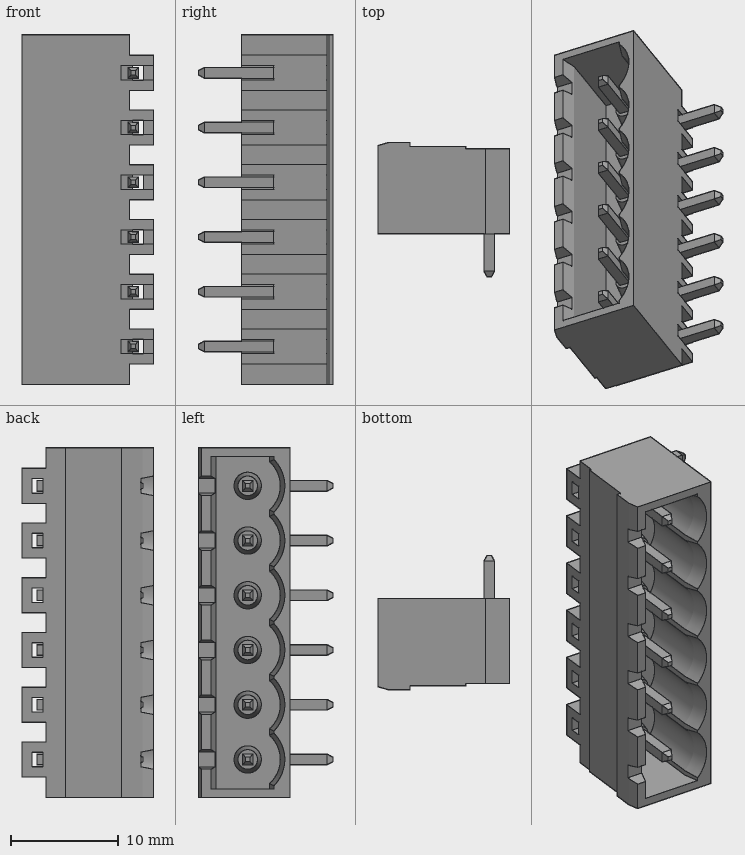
import cadquery as cq


row_length = 32.48
pin_count = 6
end_distance = 3.55
pitch = (row_length - 2 * end_distance) / (pin_count - 1)
pin_width = 1.0
pin_tip_width = 0.42
pin_tip_length = 0.55
pin_height = 3.93
pin_front = 0.97
tail_x = 10.33
tail_length = 4.0
pin_centers = [(i - (pin_count - 1) / 2) * pitch for i in range(pin_count)]

total_depth = 12.2
block_depth = 10.0
lip_height = 8.5
lip_depth = 3.0
lip_chamfer_length = 1.0
lip_chamfer_drop = 0.3
middle_height = 8.12
middle_depth = 8.15
rear_height = 7.93

end_wall = 0.8
cavity_length = row_length - 2 * end_wall
cavity_depth = 8.0
lead_in_depth = 1.45
cavity_top = 6.9
cavity_top_mouth = 7.35
cavity_bottom = 1.92
cavity_bottom_mouth = 1.5
scallop_radius = 3.02
scallop_radius_mouth = scallop_radius + cavity_bottom - cavity_bottom_mouth
boss_base_radius = 1.27
boss_top_radius = 0.9
boss_height = 2.0

notch_depth = 1.17
notch_mouth_width = 1.82
notch_floor_width = 1.35

lug_width = 3.28
slot_width = 1.33
recess_front = 9.2
recess_top = 3.0
window_front = 10.25
window_length = 1.0


def box(x_range, y_range, z_center, z_width):
    """Box between two X and two Y positions, centred on z_center."""
    (x0, x1), (y0, y1) = x_range, y_range
    return cq.Workplane("XY").box(x1 - x0, y1 - y0, z_width).translate(
        ((x0 + x1) / 2, (y0 + y1) / 2, z_center)
    )


def along_z(points, length):
    """Prism with an XY outline, centred on z = 0."""
    return cq.Workplane("XY").polyline(points).close().extrude(length / 2, both=True)


def cone(x_start, height, start_radius, end_radius, z_center):
    """Cone frustum, or cylinder if the radii match, on a contact axis running towards +X."""
    base = cq.Vector(x_start, pin_height, z_center)
    axis = cq.Vector(1, 0, 0)
    if start_radius == end_radius:
        return cq.Workplane(cq.Solid.makeCylinder(start_radius, height, base, axis))
    return cq.Workplane(cq.Solid.makeCone(start_radius, end_radius, height, base, axis))


def housing_block():
    outline = [
        (0, 0),
        (block_depth, 0),
        (block_depth, rear_height),
        (middle_depth, rear_height),
        (middle_depth, middle_height),
        (lip_depth, middle_height),
        (lip_depth, lip_height),
        (lip_chamfer_length, lip_height),
        (0, lip_height - lip_chamfer_drop),
    ]
    return along_z(outline, row_length)


def cavity():
    """Cavity with a scalloped lower wall and a flared lead-in at its mouth."""
    outline = [
        (0, cavity_bottom_mouth),
        (lead_in_depth, cavity_bottom),
        (cavity_depth, cavity_bottom),
        (cavity_depth, cavity_top),
        (lead_in_depth, cavity_top),
        (0, cavity_top_mouth),
    ]
    space = along_z(outline, cavity_length)
    lower_half = box((0, cavity_depth), (0, pin_height), 0, cavity_length)
    straight_depth = cavity_depth - lead_in_depth
    for z in pin_centers:
        flare = cone(0, lead_in_depth, scallop_radius_mouth, scallop_radius, z)
        bore = cone(lead_in_depth, straight_depth, scallop_radius, scallop_radius, z)
        space = space.union(flare.union(bore).intersect(lower_half))
    return space


def notch(z):
    """Notch through the lip, narrowing towards its floor."""
    outline = [
        (0, z - notch_mouth_width / 2),
        (notch_depth, z - notch_floor_width / 2),
        (notch_depth, z + notch_floor_width / 2),
        (0, z + notch_mouth_width / 2),
    ]
    cavity_middle = (cavity_bottom + cavity_top) / 2
    height = lip_height - cavity_middle
    return cq.Workplane("XZ", origin=(0, cavity_middle, 0)).polyline(outline).close().extrude(-height)


def rear_slot(z):
    """Recess for the pin tail, open at the back, with a window through to the top."""
    recess = box((recess_front, total_depth), (0, recess_top), z, slot_width)
    window = box((window_front, window_front + window_length), (0, rear_height), z, slot_width)
    return recess.union(window)


def pin(z):
    """Square pin bent at a right angle, pyramid-tapered at both ends."""
    half = pin_width / 2
    tip_base_x = pin_front + pin_tip_length
    tip_base_y = pin_tip_length - tail_length
    contact = box((tip_base_x, tail_x + half), (pin_height - half, pin_height + half), z, pin_width)
    tail = box((tail_x - half, tail_x + half), (tip_base_y, pin_height + half), z, pin_width)
    contact_tip = (
        cq.Workplane("YZ", origin=(pin_front, pin_height, z)).rect(pin_tip_width, pin_tip_width)
        .workplane(offset=pin_tip_length).rect(pin_width, pin_width).loft()
    )
    tail_tip = (
        cq.Workplane("XZ", origin=(tail_x, tip_base_y, z)).rect(pin_width, pin_width)
        .workplane(offset=pin_tip_length).rect(pin_tip_width, pin_tip_width).loft()
    )
    return contact.union(tail).union(contact_tip).union(tail_tip)


result = housing_block().cut(cavity())
for z in pin_centers:
    lug = box((block_depth, total_depth), (0, rear_height), z, lug_width)
    boss = cone(cavity_depth - boss_height, boss_height, boss_top_radius, boss_base_radius, z)
    result = result.union(lug).union(boss).cut(notch(z)).cut(rear_slot(z)).union(pin(z))